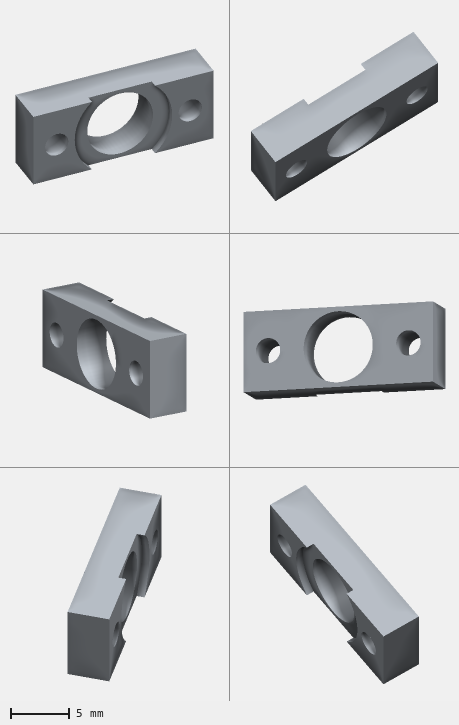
import cadquery as cq

thickness = 3.7
length = 17.0
height = 7.0

bore_diameter = 6.2
screw_hole_diameter = 2.2
screw_hole_spacing = 12.6

recess_diameter = 9.2
recess_depth = 0.7


def cross_cylinder(diameter, y, depth):
    """Cylinder along X, centred at the given Y, reaching the given depth in from the +X face."""
    return (
        cq.Workplane("YZ", origin=(thickness / 2, y, 0))
        .circle(diameter / 2)
        .extrude(-depth)
    )


block = cq.Workplane("XY").box(thickness, length, height)

result = block.cut(cross_cylinder(recess_diameter, 0, recess_depth))
result = result.cut(cross_cylinder(bore_diameter, 0, thickness))
for side in (-1, 1):
    screw_hole = cross_cylinder(screw_hole_diameter, side * screw_hole_spacing / 2, thickness)
    result = result.cut(screw_hole)